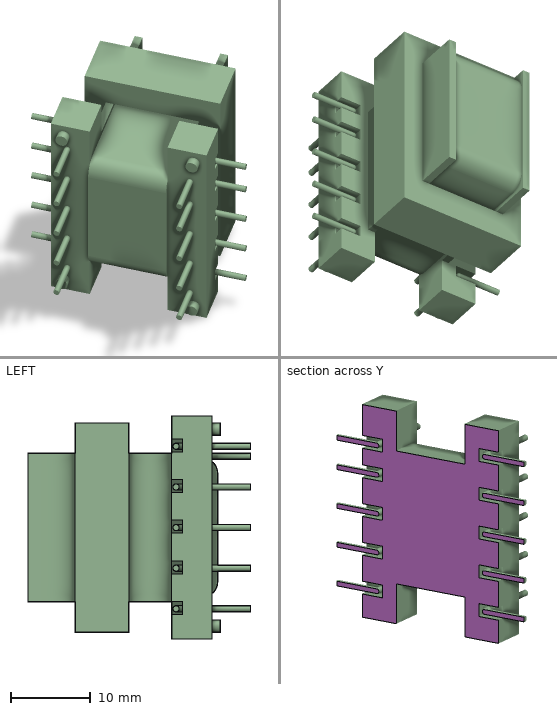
import cadquery as cq


total_width = 27.95
rail_length = 27.95
pin_tip_y = -13.95
bobbin_back_y = 13.95

rail_inner_x = 5.09
rail_thickness = 5.09
rail_outer_x = rail_inner_x + rail_thickness
rail_back_y = -4.05
rail_front_y = rail_back_y - rail_thickness

cheek_thickness = 1.0
cheek_outer_x = rail_inner_x + cheek_thickness
cheek_height = 18.6
coil_height = 17.5
coil_front_y = -9.83
coil_back_y = 13.58
coil_corner_radius = 2.0

core_width = 17.7
core_height = 26.2
core_front_y = 1.29
core_back_y = 8.02

pin_diameter = 0.78
pin_pitch = 5.09
pin_row_x = 8.02
pin_side_y = -4.6
left_pin_heights = [step * pin_pitch for step in range(-2, 3)]
offset_pin_height = 8.95
right_pin_heights = left_pin_heights[:-1] + [offset_pin_height]

pocket_depth_y = 1.37
pocket_height = 1.62
pocket_offset_z = 0.1
pocket_inner_x = pin_row_x - pin_diameter

peg_diameter = 1.56
peg_length = 1.0
peg_x = 8.5
peg_z = 12.32


def block(x_range, y_range, height):
    """Box between the given X and Y limits, centred on Z = 0."""
    x_low, x_high = sorted(x_range)
    y_low, y_high = sorted(y_range)
    box = cq.Workplane("XY").box(x_high - x_low, y_high - y_low, height)
    return box.translate(((x_low + x_high) / 2, (y_low + y_high) / 2, 0))


def rod(start, direction, length, diameter):
    """Round rod from a start point along a direction."""
    return cq.Workplane(
        cq.Solid.makeCylinder(diameter / 2, length, cq.Vector(*start), cq.Vector(*direction))
    )


def make_coil():
    coil = block((-rail_inner_x, rail_inner_x), (coil_front_y, coil_back_y), coil_height)
    return coil.edges("|X").fillet(coil_corner_radius)


def make_core():
    frame = block((-core_width / 2, core_width / 2), (core_front_y, core_back_y), core_height)
    window = block((-cheek_outer_x, cheek_outer_x), (core_front_y, core_back_y), cheek_height)
    return frame.cut(window)


def make_cheek(side):
    return block(
        (side * rail_inner_x, side * cheek_outer_x), (rail_front_y, bobbin_back_y), cheek_height
    )


def make_pin(side, z):
    """Wire leaving the rail's front, with a second leg bent out to the side."""
    bend = (side * pin_row_x, pin_side_y, z)
    front_leg = rod(bend, (0, -1, 0), pin_side_y - pin_tip_y, pin_diameter)
    side_leg = rod(bend, (side, 0, 0), total_width / 2 - pin_row_x, pin_diameter)
    elbow = cq.Workplane("XY").sphere(pin_diameter / 2).translate(bend)
    return front_leg.union(side_leg).union(elbow)


def make_rail(side, pin_heights):
    """Rail with its pin pockets, pins and standoff pegs; side is -1 or +1 along X."""
    rail = block((side * rail_inner_x, side * rail_outer_x), (rail_front_y, rail_back_y), rail_length)
    pocket = block(
        (side * pocket_inner_x, side * rail_outer_x),
        (rail_back_y - pocket_depth_y, rail_back_y),
        pocket_height,
    )
    for z in pin_heights:
        rail = rail.cut(pocket.translate((0, 0, z + pocket_offset_z)))
        rail = rail.union(make_pin(side, z))
    for z in (-peg_z, peg_z):
        rail = rail.union(rod((side * peg_x, rail_front_y, z), (0, -1, 0), peg_length, peg_diameter))
    return rail


result = make_core().union(make_coil())
for side, pin_heights in ((-1, left_pin_heights), (1, right_pin_heights)):
    result = result.union(make_cheek(side))
    result = result.union(make_rail(side, pin_heights))